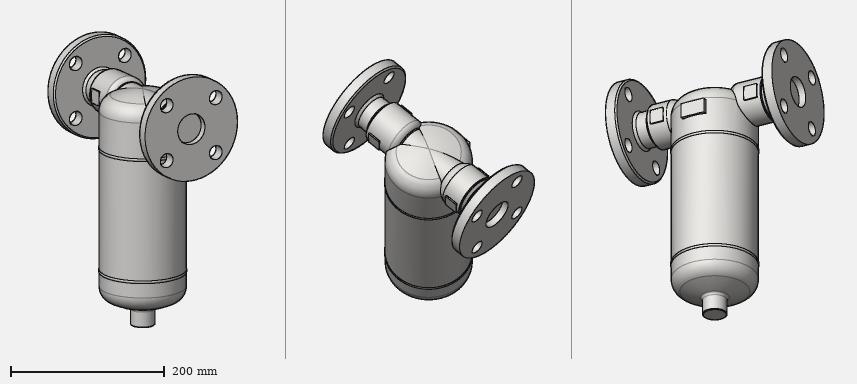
import cadquery as cq
import math

overall_length = 248.0
overall_height = 365.0
flange_diameter = 140.0
end_x = overall_length / 2
bottom_z = flange_diameter / 2 - overall_height

flange_thickness = 16.0
flange_chamfer = 2.2
bore_diameter = 41.2
bore_depth = 10.0
bolt_hole_diameter = 19.0
bolt_circle_diameter = 105.0
bolt_count = 4

neck_radius = 48.5 / 2
neck_root_radius = 27.0
neck_root_length = 4.0
collar_radius = 61.0 / 2
collar_end_x = 85.0
collar_chamfer = 1.0
weld_leg = 3.5
inlet_shoulder_x = 43.5
inlet_shoulder_length = 8.8
inlet_shoulder_bulge = 2.0
inlet_weld_length = 2.0
inlet_weld_height = 0.7
outlet_shoulder_x = 55.0
outlet_shoulder_length = 11.5
outlet_shoulder_bulge = 0.7

pad_size = 19.7
pad_corner_radius = 1.5
pad_center_x = 69.7
pad_height = 0.5
pad_face_y = collar_radius + pad_height

vessel_radius = 114.0 / 2
upper_crown_radius = 109.5
upper_knuckle_radius = 23.7
lower_crown_radius = 102.2
lower_knuckle_radius = 20.5
lower_knuckle_z = -242.7

bead_z_positions = (-56.2, -221.5)
bead_width = 3.5
bead_height = 0.7

nozzle_radius = 32.0 / 2
nozzle_chamfer = 1.0
nozzle_fillet = 3.5

plate_width = 34.0
plate_height = 20.0
plate_center_z = -19.0
plate_face_y = 60.0


def revolve_about_x(profile):
    return profile.close().revolve(360, (0, 0, 0), (1, 0, 0))


def dome_points(crown_radius, knuckle):
    """Crown edge, knuckle middle and crown middle as (radius, rise), then the total rise of the end."""
    knuckle_center = vessel_radius - knuckle
    crown_angle = math.asin(knuckle_center / (crown_radius - knuckle))
    middle_angle = (math.pi / 2 + crown_angle) / 2
    rise = crown_radius - (crown_radius - knuckle) * math.cos(crown_angle)
    crown_edge = (crown_radius * math.sin(crown_angle), knuckle * math.cos(crown_angle))
    knuckle_middle = (
        knuckle_center + knuckle * math.sin(middle_angle),
        knuckle * math.cos(middle_angle),
    )
    crown_middle = (
        crown_radius * math.sin(crown_angle / 2),
        rise - crown_radius * (1 - math.cos(crown_angle / 2)),
    )
    return crown_edge, knuckle_middle, crown_middle, rise


def make_vessel():
    """Vessel body; its top apex touches the top of the pipe."""
    top_edge, top_knuckle, top_crown, top_rise = dome_points(upper_crown_radius, upper_knuckle_radius)
    low_edge, low_knuckle, low_crown, low_rise = dome_points(lower_crown_radius, lower_knuckle_radius)
    top_z = neck_radius - top_rise
    low_z = lower_knuckle_z
    profile = (
        cq.Workplane("XZ")
        .moveTo(0, low_z - low_rise)
        .threePointArc((low_crown[0], low_z - low_crown[1]), (low_edge[0], low_z - low_edge[1]))
        .threePointArc((low_knuckle[0], low_z - low_knuckle[1]), (vessel_radius, low_z))
        .lineTo(vessel_radius, top_z)
        .threePointArc((top_knuckle[0], top_z + top_knuckle[1]), (top_edge[0], top_z + top_edge[1]))
        .threePointArc((top_crown[0], top_z + top_crown[1]), (0, neck_radius))
        .close()
    )
    return profile.revolve(360, (0, 0, 0), (0, 1, 0))


def add_nozzle(vessel):
    """Drain nozzle under the vessel, with a fillet where it meets the lower crown."""
    nozzle = (
        cq.Workplane("XY", origin=(0, 0, bottom_z))
        .circle(nozzle_radius)
        .extrude(lower_knuckle_z - bottom_z)
        .faces("<Z")
        .chamfer(nozzle_chamfer)
    )
    joint_reach = nozzle_radius + nozzle_fillet
    joint = cq.selectors.BoxSelector(
        (-joint_reach, -joint_reach, bottom_z + nozzle_radius),
        (joint_reach, joint_reach, lower_knuckle_z),
        boundingbox=True,
    )
    return vessel.union(nozzle).edges(joint).fillet(nozzle_fillet)


def make_bead(z):
    return (
        cq.Workplane("XZ")
        .moveTo(0, z - bead_width / 2)
        .lineTo(vessel_radius, z - bead_width / 2)
        .threePointArc((vessel_radius + bead_height, z), (vessel_radius, z + bead_width / 2))
        .lineTo(0, z + bead_width / 2)
        .close()
        .revolve(360, (0, 0, 0), (0, 1, 0))
    )


def make_flange_and_neck():
    """Flange, neck and neck root on the +X end."""
    inner_x = end_x - flange_thickness
    flange_radius = flange_diameter / 2
    return revolve_about_x(
        cq.Workplane("XY")
        .lineTo(end_x, 0)
        .lineTo(end_x, flange_radius)
        .lineTo(inner_x + flange_chamfer, flange_radius)
        .lineTo(inner_x, flange_radius - flange_chamfer)
        .lineTo(inner_x, neck_root_radius)
        .lineTo(inner_x - neck_root_length, neck_radius)
        .lineTo(0, neck_radius)
    )


def make_collar(shoulder_x, shoulder_length, bulge):
    """Collar on the +X side: a bulged shoulder at the inner end, a weld to the neck at the outer end."""
    shoulder_start_x = shoulder_x - shoulder_length
    shoulder_middle = (
        (shoulder_start_x + shoulder_x) / 2,
        (neck_radius + collar_radius) / 2 + bulge,
    )
    return revolve_about_x(
        cq.Workplane("XY")
        .moveTo(shoulder_start_x, 0)
        .lineTo(shoulder_start_x, neck_radius)
        .threePointArc(shoulder_middle, (shoulder_x, collar_radius))
        .lineTo(collar_end_x - collar_chamfer, collar_radius)
        .lineTo(collar_end_x, collar_radius - collar_chamfer)
        .lineTo(collar_end_x, neck_radius + weld_leg)
        .lineTo(collar_end_x + weld_leg, neck_radius)
        .lineTo(collar_end_x + weld_leg, 0)
    )


def make_inlet_weld():
    """Short cone between the inlet shoulder and the pipe, on the +X side."""
    weld_x = inlet_shoulder_x - inlet_shoulder_length
    return revolve_about_x(
        cq.Workplane("XY")
        .moveTo(weld_x - inlet_weld_length, 0)
        .lineTo(weld_x - inlet_weld_length, neck_radius)
        .lineTo(weld_x, neck_radius + inlet_weld_height)
        .lineTo(weld_x, 0)
    )


def make_pad_pair():
    """Bar through the collar that leaves a flat square pad on each side."""
    return (
        cq.Workplane("XY")
        .box(pad_size, 2 * pad_face_y, pad_size)
        .edges("|Y")
        .fillet(pad_corner_radius)
        .translate((pad_center_x, 0, 0))
    )


def make_arm(collar):
    return make_flange_and_neck().union(collar).union(make_pad_pair())


def make_end_cuts():
    """Blind bore and bolt holes for the +X flange."""
    first_hole_angle = 180 / bolt_count
    face = cq.Workplane("YZ", origin=(end_x, 0, 0))
    bore = face.circle(bore_diameter / 2).extrude(-bore_depth)
    bolt_holes = (
        face.polarArray(bolt_circle_diameter / 2, first_hole_angle, 360, bolt_count)
        .circle(bolt_hole_diameter / 2)
        .extrude(-flange_thickness)
    )
    return bore.union(bolt_holes)


def make_nameplate():
    """Plate standing on the +Y side, rooted at the vessel axis."""
    plate = cq.Workplane("XY").box(plate_width, plate_face_y, plate_height)
    return plate.translate((0, plate_face_y / 2, plate_center_z))


result = add_nozzle(make_vessel())
for bead_z in bead_z_positions:
    result = result.union(make_bead(bead_z))
result = result.union(make_nameplate())

inlet_collar = make_collar(inlet_shoulder_x, inlet_shoulder_length, inlet_shoulder_bulge)
inlet_arm = make_arm(inlet_collar.union(make_inlet_weld())).mirror("YZ")
outlet_collar = make_collar(outlet_shoulder_x, outlet_shoulder_length, outlet_shoulder_bulge)
outlet_arm = make_arm(outlet_collar)
result = result.union(inlet_arm.union(outlet_arm))

end_cuts = make_end_cuts()
result = result.cut(end_cuts).cut(end_cuts.mirror("YZ"))